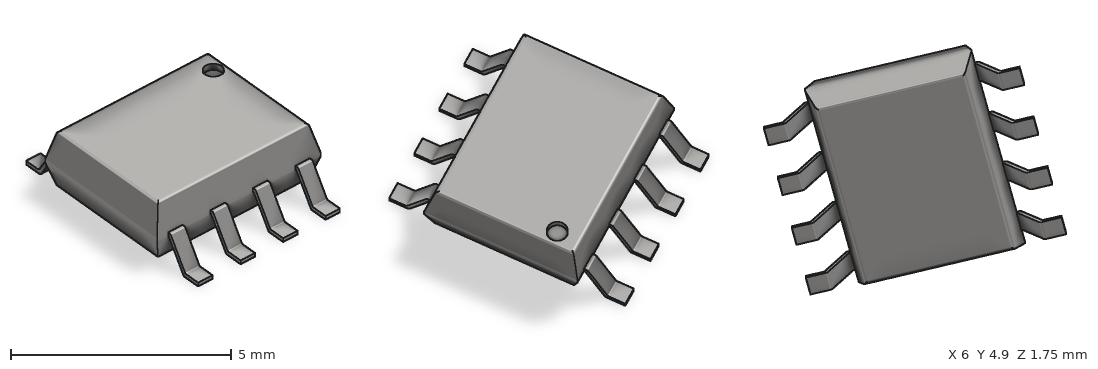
import cadquery as cq
import math

SPAN = 6.0
TOTAL_HEIGHT = 1.75

HOUSING_WIDTH = 3.9
HOUSING_DEPTH = 4.9
STANDOFF = 0.15
TAPER_INSET = 0.2
EDGE_RADIUS = 0.095

MARKER_DIAMETER = 0.485
MARKER_DEPTH = 0.18
MARKER_X = -1.165

LEADS_PER_SIDE = 4
LEAD_PITCH = 1.27
LEAD_WIDTH = 0.43
LEAD_THICKNESS = 0.11
LEAD_TOP = 0.935
FOOT_LENGTH = 0.445
SHOULDER_LENGTH = 0.09
BEND_RADIUS = 0.05
HEEL_OUTER_RADIUS = 0.07

BAND_TOP = LEAD_TOP
BAND_BOTTOM = LEAD_TOP - LEAD_THICKNESS

LEAD_ROWS = [(i - (LEADS_PER_SIDE - 1) / 2) * LEAD_PITCH for i in range(LEADS_PER_SIDE)]
MARKER_Y = LEAD_ROWS[-1]


def tapered_half(start_z, height):
    """Half of the housing, narrowing from the band; a negative height grows it downwards."""
    taper = math.degrees(math.atan2(TAPER_INSET, abs(height)))
    return (
        cq.Workplane("XY")
        .workplane(offset=start_z)
        .rect(HOUSING_WIDTH, HOUSING_DEPTH)
        .extrude(height, taper=taper)
    )


def make_housing():
    band = (
        cq.Workplane("XY")
        .workplane(offset=BAND_BOTTOM)
        .rect(HOUSING_WIDTH, HOUSING_DEPTH)
        .extrude(LEAD_THICKNESS)
    )
    upper_half = tapered_half(BAND_TOP, TOTAL_HEIGHT - BAND_TOP)
    lower_half = tapered_half(BAND_BOTTOM, STANDOFF - BAND_BOTTOM)
    block = band.union(upper_half).union(lower_half)

    block = block.faces(">Z").edges().fillet(EDGE_RADIUS)
    block = block.faces("<Z").edges().fillet(EDGE_RADIUS)

    marker = (
        cq.Workplane("XY")
        .workplane(offset=TOTAL_HEIGHT - MARKER_DEPTH)
        .center(MARKER_X, MARKER_Y)
        .circle(MARKER_DIAMETER / 2)
        .extrude(MARKER_DEPTH)
    )
    return block.cut(marker).solids()


def make_lead():
    """One lead on the -X side, centred on Y = 0, butting against the parting band."""
    tip_x = -SPAN / 2
    root_x = -HOUSING_WIDTH / 2
    heel_x = tip_x + FOOT_LENGTH
    shoulder_x = root_x - SHOULDER_LENGTH

    leg_angle = math.atan2(LEAD_TOP - LEAD_THICKNESS, shoulder_x - heel_x)
    mitre_shift = LEAD_THICKNESS * math.tan(leg_angle / 2)

    foot_bend = (heel_x, LEAD_THICKNESS)
    shoulder_bend = (shoulder_x, LEAD_TOP)
    shoulder_underside = (shoulder_x + mitre_shift, BAND_BOTTOM)
    heel_underside = (heel_x + mitre_shift, 0)
    profile = [
        (tip_x, 0),
        (tip_x, LEAD_THICKNESS),
        foot_bend,
        shoulder_bend,
        (root_x, LEAD_TOP),
        (root_x, BAND_BOTTOM),
        shoulder_underside,
        heel_underside,
    ]
    lead = cq.Workplane("XZ").polyline(profile).close().extrude(LEAD_WIDTH / 2, both=True)

    bend_radii = [
        (foot_bend, BEND_RADIUS),
        (shoulder_bend, BEND_RADIUS),
        (shoulder_underside, BEND_RADIUS),
        (heel_underside, HEEL_OUTER_RADIUS),
    ]
    for (x, z), radius in bend_radii:
        lead = lead.edges(cq.selectors.NearestToPointSelector((x, 0, z))).fillet(radius)
    return lead.solids()


def make_leads():
    left_lead = make_lead()
    right_lead = left_lead.mirror("YZ")
    leads = []
    for y in LEAD_ROWS:
        for lead in (left_lead, right_lead):
            leads.append(lead.translate((0, y, 0)).val())
    return leads


housing = make_housing()
leads = make_leads()

result = cq.Compound.makeCompound([housing.val(), *leads])